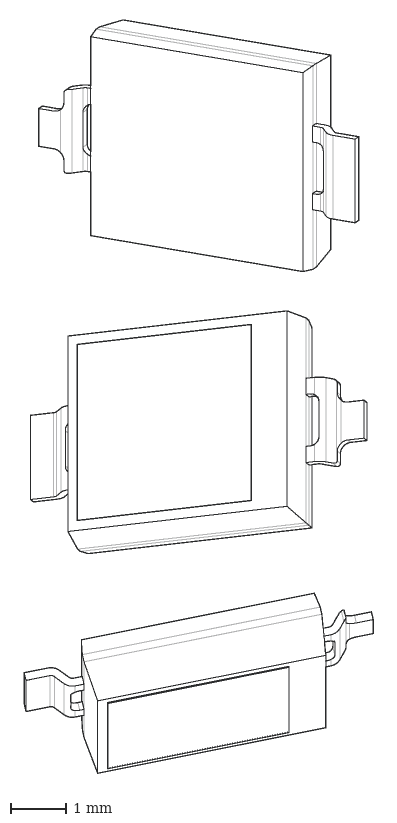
import cadquery as cq

overall_length = 6.41
overall_depth = 1.22
body_length = 4.39
body_height = 3.9

band_front = 0.3
band_back = 0.44
body_back = 1.2
front_inset = 0.045
back_inset = 0.09

pad_size = 3.345
pad_offset = 0.25

lead_thickness = 0.155
lead_width = 1.6
lead_embed = 0.13
upper_bend = 2.475
lower_bend = 2.72
bend_shift = 0.07
inner_radius = 0.095
outer_radius = inner_radius + lead_thickness
window_end = 2.435
window_height = 0.99
window_radius = 0.16
shoulder_end = 2.7
narrow_width = 0.725
shoulder_radius = 0.19
corner_radius = 0.06


def slab(length, height, y_start, y_end):
    """Centred rectangular slab between two Y positions."""
    box = cq.Workplane("XY").box(length, y_end - y_start, height)
    return box.translate((0, (y_start + y_end) / 2, 0))


def tapered_half(y_start, y_end, inset):
    """Loft from the full body outline to an outline inset on every side."""
    return (
        cq.Workplane("XZ", origin=(0, y_start, 0))
        .rect(body_length, body_height)
        .workplane(offset=y_start - y_end)
        .rect(body_length - 2 * inset, body_height - 2 * inset)
        .loft(ruled=True)
    )


def make_body():
    band = slab(body_length, body_height, band_front, band_back)
    front = tapered_half(band_front, 0, front_inset)
    back = tapered_half(band_back, body_back, back_inset)
    pad = slab(pad_size, pad_size, body_back, overall_depth)
    return band.union(front).union(back).union(pad.translate((pad_offset, 0, 0)))


def bent_strip():
    """Full-width S-bent lead on the +X side, level with the back of the band."""
    root = body_length / 2 - lead_embed
    tip = overall_length / 2
    underside = band_back - lead_thickness
    strip = (
        cq.Workplane("XY")
        .moveTo(root, band_back)
        .lineTo(upper_bend, band_back)
        .lineTo(lower_bend, lead_thickness)
        .lineTo(tip, lead_thickness)
        .lineTo(tip, 0)
        .lineTo(lower_bend - bend_shift, 0)
        .lineTo(upper_bend - bend_shift, underside)
        .lineTo(root, underside)
        .close()
        .extrude(lead_width / 2, both=True)
    )
    outer_bends = [(upper_bend, band_back), (lower_bend - bend_shift, 0)]
    inner_bends = [(upper_bend - bend_shift, underside), (lower_bend, lead_thickness)]
    for bends, radius in ((outer_bends, outer_radius), (inner_bends, inner_radius)):
        for x, y in bends:
            strip = strip.edges(cq.NearestToPointSelector((x, y, 0))).fillet(radius)
    return strip


def make_lead():
    """Bent lead with a rounded window against the body."""
    window_start = body_length / 2 - lead_embed
    window = (
        slab(window_end - window_start, window_height, 0, band_back)
        .translate(((window_start + window_end) / 2, 0, 0))
        .edges("|Y and >X")
        .fillet(window_radius)
    )
    return bent_strip().cut(window)


def narrow_foot(lead):
    """Trim the foot of a lead to a narrow tongue with rounded shoulders."""
    half_lead = lead_width / 2
    half_tongue = narrow_width / 2
    tip = overall_length / 2
    profile = (
        cq.Workplane("XZ")
        .polyline([
            (0, -half_lead),
            (shoulder_end, -half_lead),
            (shoulder_end, -half_tongue),
            (tip, -half_tongue),
            (tip, half_tongue),
            (shoulder_end, half_tongue),
            (shoulder_end, half_lead),
            (0, half_lead),
        ])
        .close()
        .extrude(-band_back)
    )
    for side in (-1, 1):
        for half_width, radius in ((half_tongue, shoulder_radius), (half_lead, corner_radius)):
            corner = (shoulder_end, band_back / 2, side * half_width)
            profile = profile.edges(cq.NearestToPointSelector(corner)).fillet(radius)
    return lead.intersect(profile)


wide_lead = make_lead()
tongue_lead = narrow_foot(wide_lead).mirror("YZ")
result = make_body().union(wide_lead).union(tongue_lead)